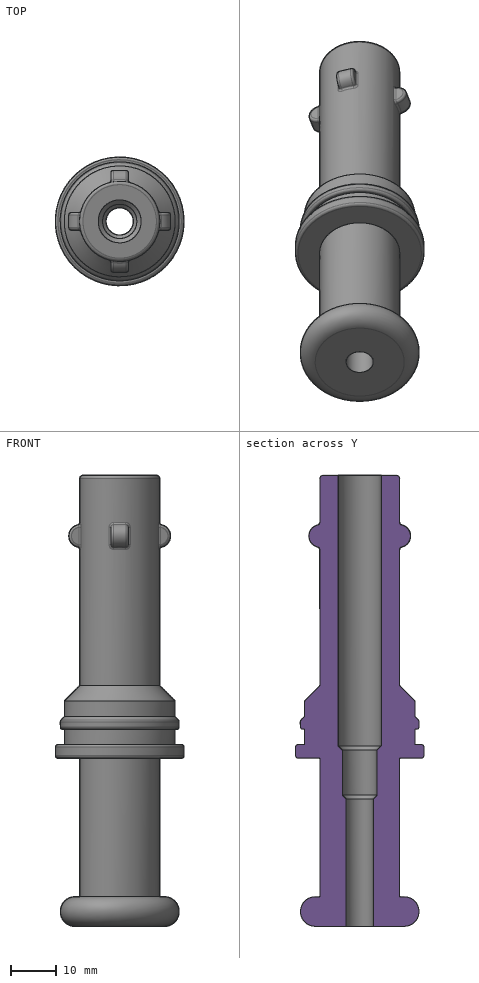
import cadquery as cq
import math

total_height = 100.08
shaft_diameter = 17.8
top_edge_fillet = 0.75

foot_diameter = 26.4
foot_height = 6.65

flange_diameter = 28.575
flange_bottom = 37.3
flange_height = 3.1
flange_fillet = 0.6

collar_diameter = 24.6
collar_top = 50.05
cone_height = 3.37

bead_diameter = 26.4
bead_bottom = 43.7
bead_height = 2.85
bead_fillet = 0.6

bore_diameter = 9.525
bore_depth = 60.0
pilot_diameter = 7.6
pilot_length = 10.0
through_diameter = 6.0
step_cone_angle = 90.0

lug_count = 4
lug_radius = 2.55
lug_reach = 11.3
lug_width = 3.95
lug_center_height = 86.6
lug_edge_fillet = 0.6
lug_base_fillet = 0.5

shaft_radius = shaft_diameter / 2


def make_disc(diameter, bottom, height):
    """Solid disc on the Z axis."""
    return cq.Workplane("XY").workplane(offset=bottom).circle(diameter / 2).extrude(height)


def make_shaft():
    """Plain shaft over the full height with a rounded top edge."""
    return make_disc(shaft_diameter, 0, total_height).faces(">Z").edges().fillet(top_edge_fillet)


def make_foot():
    """Disc whose rim is a full half round."""
    rim_radius = foot_height / 2
    flat_radius = foot_diameter / 2 - rim_radius
    return (
        cq.Workplane("XZ")
        .lineTo(flat_radius, 0)
        .threePointArc((foot_diameter / 2, rim_radius), (flat_radius, foot_height))
        .lineTo(0, foot_height)
        .close()
        .revolve(360, (0, 0), (0, 1))
    )


def make_flange():
    """Disc with both rim edges rounded."""
    return make_disc(flange_diameter, flange_bottom, flange_height).edges().fillet(flange_fillet)


def make_collar():
    """Cylinder topped by a cone that narrows to the shaft."""
    collar_radius = collar_diameter / 2
    return (
        cq.Workplane("XZ")
        .moveTo(0, flange_bottom)
        .lineTo(collar_radius, flange_bottom)
        .lineTo(collar_radius, collar_top)
        .lineTo(shaft_radius, collar_top + cone_height)
        .lineTo(0, collar_top + cone_height)
        .close()
        .revolve(360, (0, 0), (0, 1))
    )


def make_bead():
    """Ring with a sloped lead-in above and rounded rim edges."""
    bead_radius = bead_diameter / 2
    slope = bead_radius - collar_diameter / 2
    bead = make_disc(bead_diameter, bead_bottom, bead_height)
    bead = bead.faces(">Z").edges().chamfer(slope)
    rim_edges = bead.edges(cq.selectors.RadiusNthSelector(-1))
    return rim_edges.fillet(bead_fillet)


def make_bore():
    """Cutter for the stepped bore; each step ends in a cone."""
    bore_radius = bore_diameter / 2
    pilot_radius = pilot_diameter / 2
    through_radius = through_diameter / 2
    cone_slope = math.tan(math.radians(step_cone_angle / 2))
    bore_bottom = total_height - bore_depth
    pilot_top = bore_bottom - (bore_radius - pilot_radius) / cone_slope
    pilot_bottom = pilot_top - pilot_length
    through_top = pilot_bottom - (pilot_radius - through_radius) / cone_slope
    return (
        cq.Workplane("XZ")
        .lineTo(through_radius, 0)
        .lineTo(through_radius, through_top)
        .lineTo(pilot_radius, pilot_bottom)
        .lineTo(pilot_radius, pilot_top)
        .lineTo(bore_radius, bore_bottom)
        .lineTo(bore_radius, total_height)
        .lineTo(0, total_height)
        .close()
        .revolve(360, (0, 0), (0, 1))
    )


def make_lug(angle):
    """Round lug lying across the shaft at the given angle, sunk partly into it."""
    lug = (
        cq.Workplane("XZ", origin=(lug_reach - lug_radius, lug_width / 2, lug_center_height))
        .circle(lug_radius)
        .extrude(lug_width)
        .edges("%CIRCLE")
        .fillet(lug_edge_fillet)
    )
    return lug.rotate((0, 0, 0), (0, 0, 1), angle)


def add_lugs(body):
    """Join the lugs to the shaft and round the corner where they meet it."""
    for index in range(lug_count):
        body = body.union(make_lug(index * 360 / lug_count))
    lug_zone = cq.selectors.BoxSelector(
        (-shaft_radius, -shaft_radius, lug_center_height - 2 * lug_radius),
        (shaft_radius, shaft_radius, lug_center_height + 2 * lug_radius),
        boundingbox=True,
    )
    return body.edges(lug_zone).fillet(lug_base_fillet)


body = add_lugs(make_shaft())
for ring in (make_foot(), make_flange(), make_collar(), make_bead()):
    body = body.union(ring)

result = body.cut(make_bore())